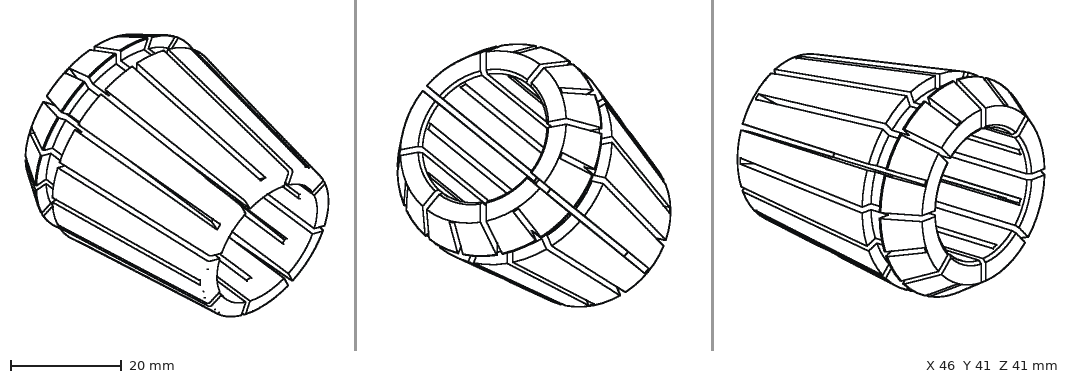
import cadquery as cq
import math

length = 46.0
max_diameter = 41.0
bore_radius = 12.5
bore_chamfer = 0.6

nose_angle = 30.0
nose_length = 6.62
land_end = 6.95

groove_end = 11.15
groove_radius = 18.1

taper_angle = 8.0
tail_fillet = 0.5

slits_per_end = 8
slit_width = 1.15
saw_radius = 29.9
nose_slit_saw_x = 23.9
nose_slit_saw_height = 36.95
tail_slit_saw_x = 29.5
tail_slit_saw_height = 23.1
overrun = 2.3

max_radius = max_diameter / 2
nose_radius = max_radius - nose_length * math.tan(math.radians(nose_angle))
tail_radius = max_radius - (length - groove_end) * math.tan(math.radians(taper_angle))
slit_pitch = 360.0 / slits_per_end


def collet_body():
    """Hollow double-cone body before slitting."""
    half_section = (
        cq.Workplane("XY")
        .moveTo(bore_chamfer, bore_radius)
        .lineTo(0, bore_radius + bore_chamfer)
        .lineTo(0, nose_radius)
        .lineTo(nose_length, max_radius)
        .lineTo(land_end, max_radius)
        .lineTo(land_end, groove_radius)
        .lineTo(groove_end, groove_radius)
        .lineTo(groove_end, max_radius)
        .lineTo(length, tail_radius)
        .lineTo(length, bore_radius)
        .close()
    )
    body = half_section.revolve(360, (0, 0, 0), (1, 0, 0))
    tail_rim = cq.selectors.RadiusNthSelector(-1)
    return body.faces(">X").edges(tail_rim).fillet(tail_fillet)


def slit_cutter(open_x, saw_x, saw_height):
    """Path of the saw from beyond the open end to its last position, cutting the +Z wall."""
    floor_height = saw_height - saw_radius
    track = (
        cq.Workplane("XZ")
        .moveTo(open_x, floor_height)
        .lineTo(saw_x, floor_height)
        .lineTo(saw_x, saw_height)
        .lineTo(open_x, saw_height)
        .close()
        .extrude(slit_width / 2, both=True)
    )
    saw = (
        cq.Workplane("XZ")
        .center(saw_x, saw_height)
        .circle(saw_radius)
        .extrude(slit_width / 2, both=True)
    )
    return track.union(saw)


def cut_slits(body, cutter, first_angle):
    """Repeat one slit evenly around the X axis."""
    for i in range(slits_per_end):
        angle = first_angle + i * slit_pitch
        body = body.cut(cutter.rotate((0, 0, 0), (1, 0, 0), angle))
    return body


nose_slit = slit_cutter(-overrun, nose_slit_saw_x, nose_slit_saw_height)
tail_slit = slit_cutter(length + overrun, tail_slit_saw_x, tail_slit_saw_height)

result = collet_body()
result = cut_slits(result, nose_slit, 0)
result = cut_slits(result, tail_slit, slit_pitch / 2)